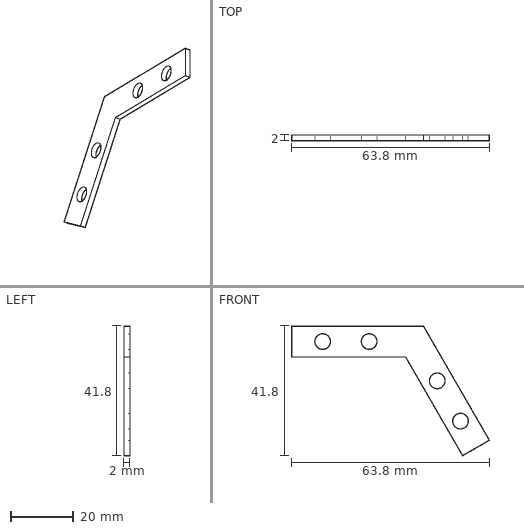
import cadquery as cq
import math

overall_length = 63.75
arm_width = 10.0
thickness = 2.0
bend_angle = math.radians(60)
hole_diameter = 5.0
end_to_hole = 10.0
hole_pitch = 15.0

arm_length = overall_length / (1 + math.cos(bend_angle))
inner_corner_setback = arm_width * math.tan(bend_angle / 2)


def level_arm_point(along, inward):
    """Point measured back from the outer corner and inward from the outer edge."""
    return (-along, -inward)


def sloping_arm_point(along, inward):
    """Point measured down the sloping arm from the outer corner and inward from its edge."""
    x = along * math.cos(bend_angle) - inward * math.sin(bend_angle)
    z = -along * math.sin(bend_angle) - inward * math.cos(bend_angle)
    return (x, z)


outline = [
    (0, 0),
    sloping_arm_point(arm_length, 0),
    sloping_arm_point(arm_length, arm_width),
    level_arm_point(inner_corner_setback, arm_width),
    level_arm_point(arm_length, arm_width),
    level_arm_point(arm_length, 0),
]
front_plane = cq.Workplane("XZ", origin=(0, -thickness / 2, 0))
plate = front_plane.polyline(outline).close().extrude(-thickness)

hole_centres = []
for arm_point in (level_arm_point, sloping_arm_point):
    for index in range(2):
        along = arm_length - end_to_hole - index * hole_pitch
        hole_centres.append(arm_point(along, arm_width / 2))

holes = front_plane.pushPoints(hole_centres).circle(hole_diameter / 2).extrude(-thickness)

result = plate.cut(holes)